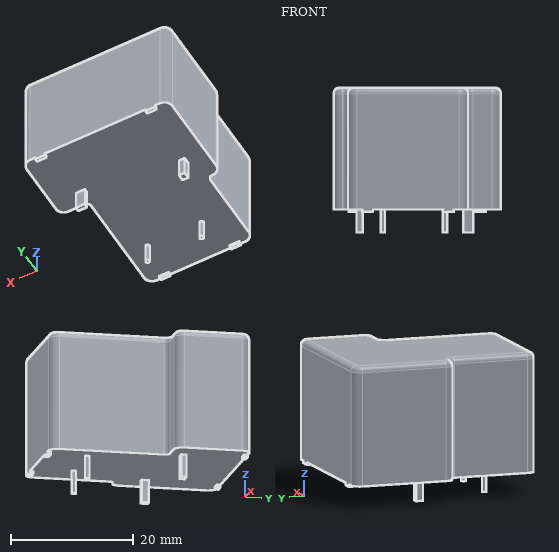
import cadquery as cq

WIDTH = 27.45
DEPTH = 32.5
BODY_HEIGHT = 20.0
FRONT_LEFT = 2.35
FRONT_RIGHT = 22.07
LEFT_LEDGE_Y = 15.0
RIGHT_LEDGE_Y = 19.85
OUTER_RADIUS = 1.5
INNER_RADIUS = 0.8
TOP_RADIUS = 1.0

FOOT_LENGTH = 1.8
FOOT_DEPTH = 0.6
FOOT_HEIGHT = 0.4
FRONT_FOOT_INSET = 2.35
REAR_FOOT_INSET = 2.45

PIN_LENGTH = 3.77
OVERLAP = 0.33
ROUND_PIN_DIAMETER = 0.75
ROUND_PIN_Y = 7.02
ROUND_PIN_XS = (8.1, 18.27)
FLAT_PINS = (
    (4.25, 19.75, 1.07, 1.2),
    (22.07, 22.27, 1.7, 0.8),
)


def make_housing():
    outline = [
        (FRONT_LEFT, 0),
        (FRONT_RIGHT, 0),
        (FRONT_RIGHT, RIGHT_LEDGE_Y),
        (WIDTH, RIGHT_LEDGE_Y),
        (WIDTH, DEPTH),
        (0, DEPTH),
        (0, LEFT_LEDGE_Y),
        (FRONT_LEFT, LEFT_LEDGE_Y),
    ]
    inner_corners = [(FRONT_RIGHT, RIGHT_LEDGE_Y), (FRONT_LEFT, LEFT_LEDGE_Y)]
    body = cq.Workplane("XY").polyline(outline).close().extrude(BODY_HEIGHT)
    for corner in outline:
        radius = INNER_RADIUS if corner in inner_corners else OUTER_RADIUS
        nearest = cq.selectors.NearestToPointSelector((*corner, BODY_HEIGHT / 2))
        body = body.edges("|Z").edges(nearest).fillet(radius)
    return body.faces(">Z").edges().fillet(TOP_RADIUS)


def make_block(x, y, size_x, size_y, drop):
    """Block centred on (x, y), reaching `drop` below the housing and slightly into it."""
    block = cq.Workplane("XY").box(size_x, size_y, drop + OVERLAP, centered=(True, True, False))
    return block.translate((x, y, -drop))


def make_round_pin(x):
    pin = cq.Workplane("XY").circle(ROUND_PIN_DIAMETER / 2).extrude(PIN_LENGTH + OVERLAP)
    return pin.translate((x, ROUND_PIN_Y, -PIN_LENGTH))


result = make_housing()

foot_offset = FOOT_DEPTH / 2
foot_rows = (
    (foot_offset, FRONT_LEFT, FRONT_RIGHT, FRONT_FOOT_INSET),
    (DEPTH - foot_offset, 0, WIDTH, REAR_FOOT_INSET),
)
for foot_y, wall_left, wall_right, inset in foot_rows:
    to_centre = inset + FOOT_LENGTH / 2
    for foot_x in (wall_left + to_centre, wall_right - to_centre):
        result = result.union(make_block(foot_x, foot_y, FOOT_LENGTH, FOOT_DEPTH, FOOT_HEIGHT))

for pin_x, pin_y, size_x, size_y in FLAT_PINS:
    result = result.union(make_block(pin_x, pin_y, size_x, size_y, PIN_LENGTH))

for pin_x in ROUND_PIN_XS:
    result = result.union(make_round_pin(pin_x))

result = result.clean().translate((-WIDTH / 2, -DEPTH / 2, 0))